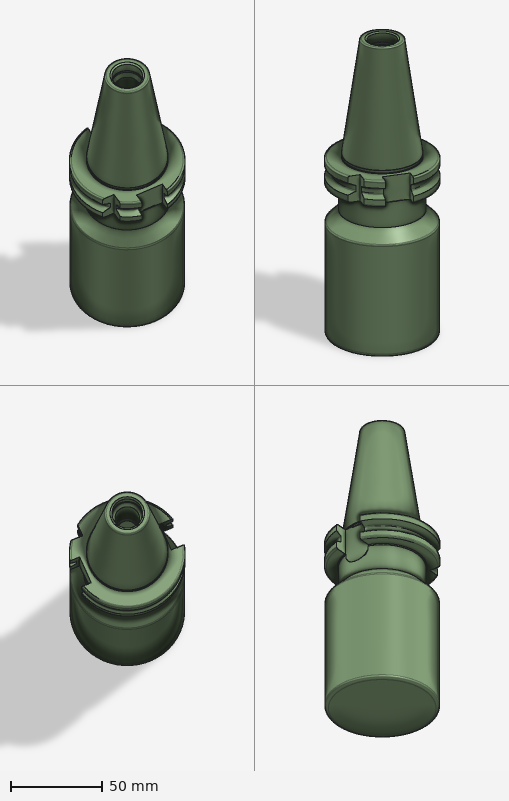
import cadquery as cq

total_height = 178.4

body_diameter = 63.0
body_radius = body_diameter / 2
body_bottom_fillet = 2.0
shoulder_fillet = 1.6
neck_radius = 24.0
neck_bottom_z = 75.1
shoulder_z = neck_bottom_z - (body_radius - neck_radius)

flange_radius = 31.8
flange_top_z = 106.9
flange_thickness = 15.9
flange_bottom_z = flange_top_z - flange_thickness
flange_edge_fillet = 1.0
groove_z = flange_top_z - flange_thickness / 2
groove_root_radius = 28.0
groove_root_width = 3.4
groove_mouth_width = 7.1
groove_root_fillet = 0.5
flange_neck_fillet = 0.5

taper_slope = 7 / 24 / 2
taper_top_radius = 12.3
relief_top_z = flange_top_z + 2.1
taper_bottom_radius = taper_top_radius + (total_height - relief_top_z) * taper_slope
relief_depth = 0.4
relief_radius = taper_bottom_radius - relief_depth
taper_top_fillet = 0.9

bore_lip_radius = 9.5
bore_lip_depth = 0.7
counterbore_radius = 8.4
counterbore_depth = 8.2
bore_relief_start_depth = 6.0
bore_relief_radius = counterbore_radius + relief_depth
hole_radius = 6.8
countersink_end_depth = counterbore_depth + counterbore_radius - hole_radius
floor_radius = 5.7
floor_depth = 32.1
hole_depth = floor_depth - (hole_radius - floor_radius)

slot_width = 16.0
slot_bottom_z = 83.1
left_slot_floor = 22.8
right_slot_floor = 25.0
notch_corner_x = 18.5
notch_corner_y = -18.7

cut_clearance = 1.8
tolerance = 0.02


def revolved(points):
    """Turn a closed (radius, Z) outline about the Z axis."""
    return cq.Workplane("XZ").polyline(points).close().revolve(360, (0, 0, 0), (0, 1, 0))


def slab(radius, z):
    """Box selector for whole edges at height z that fit within the given radius."""
    low_corner = (-radius, -radius, z - tolerance)
    high_corner = (radius, radius, z + tolerance)
    return cq.selectors.BoxSelector(low_corner, high_corner, boundingbox=True)


def circle_edges_at(radius, z):
    """Select the circular edge of the given radius at height z."""
    return slab(radius + tolerance, z) - slab(radius - tolerance, z)


def make_blank():
    """Turned body, neck, flange and taper, with their edges rounded."""
    blank = revolved([
        (0, 0),
        (body_radius, 0),
        (body_radius, shoulder_z),
        (neck_radius, neck_bottom_z),
        (neck_radius, flange_bottom_z),
        (flange_radius, flange_bottom_z),
        (flange_radius, groove_z - groove_mouth_width / 2),
        (groove_root_radius, groove_z - groove_root_width / 2),
        (groove_root_radius, groove_z + groove_root_width / 2),
        (flange_radius, groove_z + groove_mouth_width / 2),
        (flange_radius, flange_top_z),
        (taper_bottom_radius, flange_top_z),
        (relief_radius, flange_top_z + relief_depth),
        (relief_radius, relief_top_z - relief_depth),
        (taper_bottom_radius, relief_top_z),
        (taper_top_radius, total_height),
        (0, total_height),
    ])
    rounded_edges = [
        (body_radius, 0, body_bottom_fillet),
        (body_radius, shoulder_z, shoulder_fillet),
        (flange_radius, flange_bottom_z, flange_edge_fillet),
        (flange_radius, flange_top_z, flange_edge_fillet),
        (groove_root_radius, groove_z - groove_root_width / 2, groove_root_fillet),
        (groove_root_radius, groove_z + groove_root_width / 2, groove_root_fillet),
        (neck_radius, flange_bottom_z, flange_neck_fillet),
        (taper_top_radius, total_height, taper_top_fillet),
    ]
    for radius, z, fillet in rounded_edges:
        blank = blank.edges(circle_edges_at(radius, z)).fillet(fillet)
    return blank


def make_bore():
    """Stepped bore, outlined as (radius, depth below the top face)."""
    depth_outline = [
        (0, 0),
        (bore_lip_radius, 0),
        (counterbore_radius, bore_lip_depth),
        (counterbore_radius, bore_relief_start_depth),
        (bore_relief_radius, bore_relief_start_depth + relief_depth),
        (bore_relief_radius, counterbore_depth - relief_depth),
        (counterbore_radius, counterbore_depth),
        (hole_radius, countersink_end_depth),
        (hole_radius, hole_depth),
        (floor_radius, floor_depth),
        (0, floor_depth),
    ]
    return revolved([(radius, total_height - depth) for radius, depth in depth_outline])


def make_slot(floor_distance, side):
    """Slot with a rounded lower end, cut inward from the rim on the given X side (-1 or 1)."""
    round_z = slot_bottom_z + slot_width / 2
    half_width = slot_width / 2
    cut_depth = flange_radius - floor_distance + cut_clearance
    return (
        cq.Workplane("YZ", origin=(side * floor_distance, 0, 0))
        .moveTo(-half_width, flange_top_z)
        .lineTo(-half_width, round_z)
        .threePointArc((0, slot_bottom_z), (half_width, round_z))
        .lineTo(half_width, flange_top_z)
        .close()
        .extrude(side * cut_depth)
    )


def make_notch():
    """Square-cornered notch through the flange, open toward +X and -Y."""
    return (
        cq.Workplane("XY", origin=(0, 0, flange_bottom_z))
        .moveTo(notch_corner_x, notch_corner_y)
        .lineTo(flange_radius, notch_corner_y)
        .lineTo(flange_radius, -flange_radius)
        .lineTo(notch_corner_x, -flange_radius)
        .close()
        .extrude(flange_thickness)
    )


result = (
    make_blank()
    .cut(make_bore())
    .cut(make_slot(left_slot_floor, -1))
    .cut(make_slot(right_slot_floor, 1))
    .cut(make_notch())
)